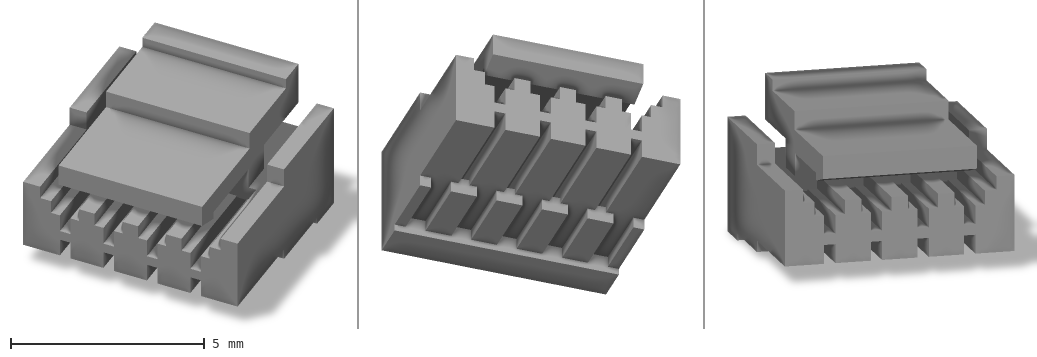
import cadquery as cq


width = 6.15
depth = 5.7
mid_y = 2.755
deck_z = 2.14
belly_z = 0.48

wall_thickness = 0.485
front_wall_top = 2.5
rear_wall_top = 3.05

foot_y = 4.71
rib_z = 0.18
end_rib_width = 0.3
slot_rib_width = 0.71

contact_count = 4
contact_pitch = 1.25
contact_width = 0.3
groove_width = 0.805
groove_floor = 1.765
web_bottom = 0.985
web_top = 1.26
lower_hole_bottom = 0.635
upper_hole_top = 1.72

latch_width = 4.12
height = 4.15
grip_y = 4.96
grip_z = 3.855
arm_step_y = 2.81
arm_top = 3.36
arm_underside = 2.74
tail_underside = 2.91
hook_y = 0.68
hook_z = 2.53

leg_rear_y = 3.665
leg_gap = 2.56

contact_xs = [(i - (contact_count - 1) / 2) * contact_pitch for i in range(contact_count)]


def block(x_center, x_size, y_range, z_range):
    """Box centred on x_center that spans the given Y and Z ranges."""
    y0, y1 = y_range
    z0, z1 = z_range
    corner = (x_center - x_size / 2, y0, z0)
    return cq.Workplane("XY").box(x_size, y1 - y0, z1 - z0, centered=False).translate(corner)


def make_body():
    """Central block, foot, stepped side walls and bottom ribs."""
    body = block(0, width, (0, depth), (belly_z, deck_z))
    body = body.union(block(0, width, (foot_y, depth), (0, belly_z)))
    wall_x = (width - wall_thickness) / 2
    end_rib_x = (width - end_rib_width) / 2
    for side in (-1, 1):
        body = body.union(block(side * wall_x, wall_thickness, (0, depth), (deck_z, front_wall_top)))
        body = body.union(
            block(side * wall_x, wall_thickness, (mid_y, depth), (front_wall_top, rear_wall_top))
        )
        body = body.union(block(side * end_rib_x, end_rib_width, (mid_y, foot_y), (rib_z, belly_z)))
    for x in contact_xs:
        body = body.union(block(x, slot_rib_width, (mid_y, foot_y), (rib_z, belly_z)))
    return body


def cut_contact_slots(body):
    """Open slots in the mating half, each continued to the rear by a slightly lower hole."""
    front = (0, mid_y)
    rear = (mid_y, depth)
    for x in contact_xs:
        body = body.cut(block(x, groove_width, front, (groove_floor, deck_z)))
        body = body.cut(block(x, contact_width, front, (web_top, groove_floor)))
        body = body.cut(block(x, contact_width, front, (belly_z, web_bottom)))
        body = body.cut(block(x, contact_width, rear, (web_top, upper_hole_top)))
        body = body.cut(block(x, contact_width, rear, (lower_hole_bottom, web_bottom)))
    return body


def make_latch():
    """Lever with grip ridge and hooked nose, standing on two legs."""
    profile = [
        (0, arm_underside),
        (0, arm_top),
        (arm_step_y, arm_top),
        (arm_step_y, grip_z),
        (grip_y, grip_z),
        (grip_y, height),
        (depth, height),
        (depth, tail_underside),
        (leg_rear_y, tail_underside),
        (leg_rear_y, arm_underside),
        (hook_y, arm_underside),
        (hook_y, hook_z),
    ]
    latch = cq.Workplane("YZ").polyline(profile).close().extrude(latch_width / 2, both=True)
    leg_width = (latch_width - leg_gap) / 2
    leg_x = (leg_gap + leg_width) / 2
    for side in (-1, 1):
        latch = latch.union(block(side * leg_x, leg_width, (mid_y, leg_rear_y), (deck_z, arm_underside)))
    return latch


result = cut_contact_slots(make_body()).union(make_latch())